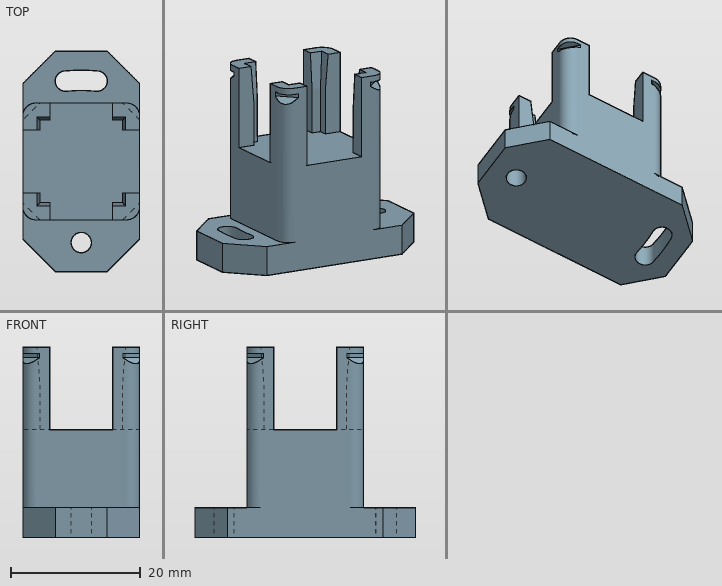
import cadquery as cq
import math

plate_width = 18.0
plate_length = 34.0
plate_thickness = 4.65
plate_chamfer = 5.0

hole_diameter = 3.1
hole_distance = 25.0
slot_length = 8.0

block_side = plate_width
block_height = 12.0
corner_radius = 2.0
post_side = 4.15
post_height = 12.7

seat_side = 12.7
lead_in_side = 13.7
lead_in_depth = 5.7

groove_drop = 1.0
groove_wall_height = 0.6
groove_corner_leg = 2.6
groove_slope_angle = 43.0

block_top = plate_thickness + block_height
post_top = block_top + post_height
post_gap = block_side - 2 * post_side
hole_y = -hole_distance / 2


def make_plate():
    plate = cq.Workplane("XY").box(
        plate_width, plate_length, plate_thickness, centered=(True, True, False)
    )
    return plate.edges("|Z").chamfer(plate_chamfer)


def make_tower():
    """Rounded square column from the plate's upper face to the post tops."""
    tower = (
        cq.Workplane("XY")
        .workplane(offset=plate_thickness)
        .rect(block_side, block_side)
        .extrude(block_height + post_height)
    )
    return tower.edges("|Z").fillet(corner_radius)


def make_post_gaps():
    """Cross-shaped clearance that separates the four posts above the block."""
    plane = cq.Workplane("XY").workplane(offset=block_top)
    along_x = plane.rect(block_side, post_gap).extrude(post_height)
    along_y = plane.rect(post_gap, block_side).extrude(post_height)
    return along_x.union(along_y)


def make_seat():
    """Square recess between the posts, widening towards the post tops."""
    straight = (
        cq.Workplane("XY")
        .workplane(offset=block_top)
        .rect(seat_side, seat_side)
        .extrude(post_height)
    )
    lead_in = (
        cq.Workplane("XY")
        .workplane(offset=post_top - lead_in_depth)
        .rect(seat_side, seat_side)
        .workplane(offset=lead_in_depth)
        .rect(lead_in_side, lead_in_side)
        .loft(ruled=True)
    )
    return straight.union(lead_in)


def make_corner_grooves():
    """Grooves across the outer corners, each with a flat roof, an upright wall and a sloped floor."""
    corner_distance = block_side / math.sqrt(2)
    wall_depth = groove_corner_leg / math.sqrt(2)
    wall_distance = corner_distance - wall_depth
    roof_z = post_top - groove_drop
    floor_z = roof_z - groove_wall_height
    slope_drop = wall_depth * math.tan(math.radians(groove_slope_angle))
    groove = (
        cq.Workplane("XZ")
        .moveTo(wall_distance, roof_z)
        .lineTo(corner_distance, roof_z)
        .lineTo(corner_distance, floor_z - slope_drop)
        .lineTo(wall_distance, floor_z)
        .close()
        .extrude(post_side, both=True)
    )
    grooves = cq.Workplane("XY")
    for corner_angle in (45, 135, 225, 315):
        grooves = grooves.add(groove.rotate((0, 0, 0), (0, 0, 1), corner_angle))
    return grooves.combine()


def make_mounting_hole():
    return cq.Workplane("XY").center(0, hole_y).circle(hole_diameter / 2).extrude(plate_thickness)


def make_curved_slot():
    """Round-ended slot whose centre line is an arc about the mounting hole."""
    half_width = hole_diameter / 2
    half_angle = math.asin((slot_length / 2 - half_width) / hole_distance)
    inner = hole_distance - half_width
    outer = hole_distance + half_width

    def at(radius, angle):
        return (radius * math.sin(angle), hole_y + radius * math.cos(angle))

    def end_tip(side):
        end_x, end_y = at(hole_distance, side * half_angle)
        return (
            end_x + side * half_width * math.cos(half_angle),
            end_y - half_width * math.sin(half_angle),
        )

    return (
        cq.Workplane("XY")
        .moveTo(*at(outer, -half_angle))
        .threePointArc(at(outer, 0), at(outer, half_angle))
        .threePointArc(end_tip(1), at(inner, half_angle))
        .threePointArc(at(inner, 0), at(inner, -half_angle))
        .threePointArc(end_tip(-1), at(outer, -half_angle))
        .close()
        .extrude(plate_thickness)
    )


body = make_plate().union(make_tower())
body = body.cut(make_post_gaps()).cut(make_seat()).cut(make_corner_grooves())
result = body.cut(make_mounting_hole()).cut(make_curved_slot())